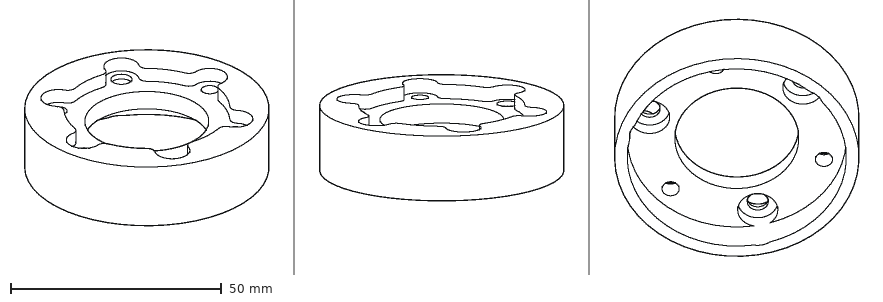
import cadquery as cq
import math

outer_diameter = 58
height = 15.9
bore_diameter = 29.4
pocket_depth = 3.5
pocket_diameter = 39.45
bolt_circle_radius = 21.6
lobe_diameter = 8.35
blend_radius = 2.0
web_thickness = 4.7
recess_diameter = 51.95
seat_diameter = 9.5
seat_web_thickness = 1.3
large_hole_diameter = 5.0
small_hole_diameter = 4.05
hole_count = 6

pocket_floor = height - pocket_depth
recess_depth = pocket_floor - web_thickness
seat_depth = pocket_floor - seat_web_thickness


def cylinder(diameter, bottom, length):
    """Upright cylinder on the part axis."""
    return cq.Workplane("XY").workplane(offset=bottom).circle(diameter / 2).extrude(length)


def bolt_points(first, step):
    """Points on the bolt circle, taking every step-th position from first."""
    angles = [2 * math.pi * i / hole_count for i in range(first, hole_count, step)]
    return [(bolt_circle_radius * math.cos(a), bolt_circle_radius * math.sin(a)) for a in angles]


def bolt_cylinders(diameter, points, bottom, length):
    """Upright cylinders standing at the given points."""
    plane = cq.Workplane("XY").workplane(offset=bottom)
    return plane.pushPoints(points).circle(diameter / 2).extrude(length)


def pocket():
    """Round pocket with one lobe around each bolt hole, blended at the necks."""
    disc = cylinder(pocket_diameter, pocket_floor, pocket_depth)
    lobes = bolt_cylinders(lobe_diameter, bolt_points(0, 1), pocket_floor, pocket_depth)
    return disc.union(lobes).edges("|Z").fillet(blend_radius)


small_holes = bolt_cylinders(small_hole_diameter, bolt_points(0, 2), 0, height)
large_holes = bolt_cylinders(large_hole_diameter, bolt_points(1, 2), 0, height)

head_seats = bolt_cylinders(seat_diameter, bolt_points(1, 2), 0, seat_depth)

result = (
    cylinder(outer_diameter, 0, height)
    .cut(cylinder(bore_diameter, 0, height))
    .cut(cylinder(recess_diameter, 0, recess_depth))
    .cut(pocket())
    .cut(small_holes)
    .cut(large_holes)
    .cut(head_seats)
)